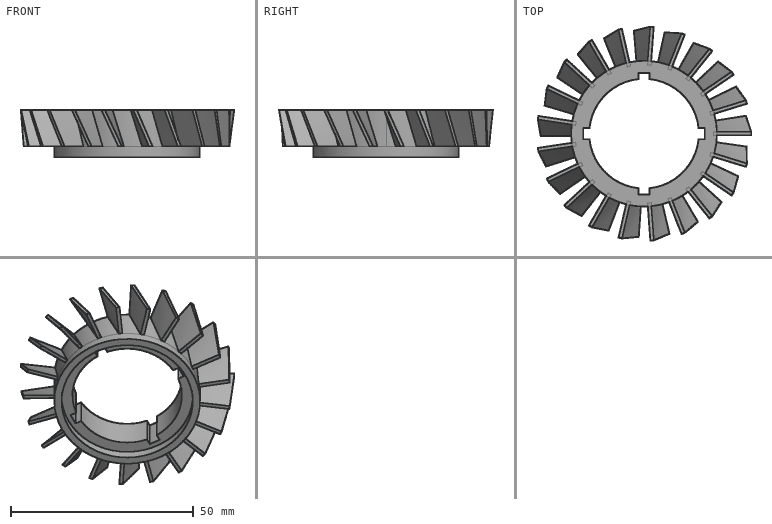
import cadquery as cq
import math

overall_depth = 58.7

hub_diameter = 40.0
bore_diameter = 30.0
collar_bore_diameter = 36.0
collar_height = 3.0
blade_height = 10.0

keyway_count = 4
keyway_width = 3.0
keyway_tip_radius = 16.6

blade_count = 21
blade_thickness = 1.0
blade_root_radius = 18.95
blade_bottom_tip_radius = 28.35
blade_bottom_swing = 9.0

blade_pitch = 360 / blade_count
keyway_pitch = 360 / keyway_count
total_height = collar_height + blade_height

nearest_blade_number = round(blade_count / 4)
nearest_blade_angle = math.radians(nearest_blade_number * blade_pitch)
tip_corner_rise = blade_thickness / 2 * abs(math.cos(nearest_blade_angle))
blade_top_tip_radius = (overall_depth / 2 - tip_corner_rise) / math.sin(nearest_blade_angle)


def make_hub():
    """Ring with a keyed bore, without the collar."""
    ring = (
        cq.Workplane("XY", origin=(0, 0, collar_height))
        .circle(hub_diameter / 2)
        .circle(bore_diameter / 2)
        .extrude(blade_height)
    )
    for i in range(keyway_count):
        keyway = (
            cq.Workplane("XY", origin=(0, 0, collar_height))
            .rect(keyway_tip_radius, keyway_width)
            .extrude(blade_height)
            .translate((keyway_tip_radius / 2, 0, 0))
            .rotate((0, 0, 0), (0, 0, 1), i * keyway_pitch)
        )
        ring = ring.cut(keyway)
    return ring


def make_collar():
    """Thin-walled ring under the hub."""
    return (
        cq.Workplane("XY")
        .circle(hub_diameter / 2)
        .circle(collar_bore_diameter / 2)
        .extrude(collar_height)
    )


def blade_section(tip_radius, swing, z):
    """Rectangular outline of a blade at height z, turned by swing degrees."""
    half = blade_thickness / 2
    corners = [
        cq.Vector(blade_root_radius, -half, z),
        cq.Vector(tip_radius, -half, z),
        cq.Vector(tip_radius, half, z),
        cq.Vector(blade_root_radius, half, z),
    ]
    outline = cq.Wire.makePolygon(corners, close=True)
    return outline.rotate(cq.Vector(0, 0, 0), cq.Vector(0, 0, 1), swing)


def make_blade():
    """Twisted blade pointing along +X at its top."""
    bottom = blade_section(blade_bottom_tip_radius, blade_bottom_swing, collar_height)
    top = blade_section(blade_top_tip_radius, 0, total_height)
    return cq.Workplane(cq.Solid.makeLoft([bottom, top], True))


blade = make_blade()
result = make_hub().union(make_collar(), clean=False)
for i in range(blade_count):
    turned_blade = blade.rotate((0, 0, 0), (0, 0, 1), i * blade_pitch)
    result = result.union(turned_blade, clean=False)